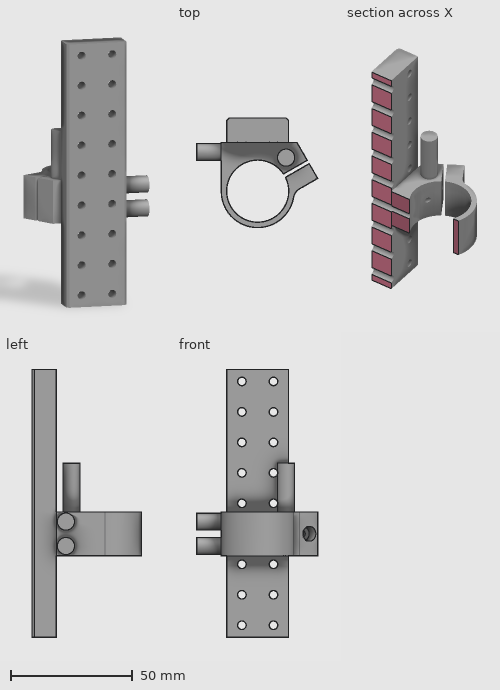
import cadquery as cq
import math

RAIL_LENGTH = 110.0
RAIL_WIDTH = 25.4
RAIL_THICKNESS = 10.0
RAIL_CHAMFER = 1.0
RAIL_HOLE_DIAMETER = 3.4
HOLE_ROWS = 9
HOLE_COLUMN_SPACING = 13.0
HOLE_END_MARGIN = 5.0
HOLE_PITCH = (RAIL_LENGTH - 2 * HOLE_END_MARGIN) / (HOLE_ROWS - 1)

BORE_DIAMETER = RAIL_WIDTH
RING_WALL = 2.3
RING_RADIUS = BORE_DIAMETER / 2 + RING_WALL
CLAMP_HEIGHT = 18.0
CLAMP_ROW = 3
CLAMP_MIDDLE_Z = HOLE_END_MARGIN + CLAMP_ROW * HOLE_PITCH
CLAMP_BOTTOM_Z = CLAMP_MIDDLE_Z - CLAMP_HEIGHT / 2
CLAMP_TOP_Z = CLAMP_BOTTOM_Z + CLAMP_HEIGHT
MOUNTING_FACE_Y = 20.0
MOUNTING_HOLE_DIAMETER = 2.4

SLIT_ANGLE = 30.0
SLIT_WIDTH = 1.5
JAW_REACH = 24.0
JAW_THICKNESS = 7.0
JAW_FILLET = 5.0
JAW_OUTER_OFFSET = SLIT_WIDTH / 2 + JAW_THICKNESS

SCREW_REACH = 20.0
SCREW_HOLE_DIAMETER = 2.4
SCREW_HEAD_DIAMETER = 6.0
SCREW_HEAD_DEPTH = 5.5
SCREW_END_OFFSET = 10.0

PIN_DIAMETER = 7.0
SIDE_PIN_LENGTH = 10.0
SIDE_PIN_Y = 16.1
SIDE_PIN_SPACING = 10.0
TOP_PIN_LENGTH = 20.0
TOP_PIN_X = 11.7
TOP_PIN_Y = 13.8


def slit_point(along, across):
    """Turn a place along and across the slit into X and Y."""
    angle = math.radians(SLIT_ANGLE)
    return (
        along * math.cos(angle) - across * math.sin(angle),
        along * math.sin(angle) + across * math.cos(angle),
    )


def slit_cylinder(diameter, start, length):
    """Cylinder on the screw axis, from start across the slit, towards the rail."""
    x, y = slit_point(SCREW_REACH, start)
    direction = slit_point(0, 1)
    return cq.Solid.makeCylinder(
        diameter / 2, length, cq.Vector(x, y, CLAMP_MIDDLE_Z), cq.Vector(*direction, 0)
    )


def rail_hole_cutters(diameter, z, y_start, length):
    """Two cylinders along +Y, one for each column of rail holes."""
    return [
        cq.Solid.makeCylinder(
            diameter / 2, length, cq.Vector(x, y_start, z), cq.Vector(0, 1, 0)
        )
        for x in (-HOLE_COLUMN_SPACING / 2, HOLE_COLUMN_SPACING / 2)
    ]


def make_rail():
    rail = (
        cq.Workplane("XY")
        .center(0, MOUNTING_FACE_Y + RAIL_THICKNESS / 2)
        .rect(RAIL_WIDTH, RAIL_THICKNESS)
        .extrude(RAIL_LENGTH)
        .edges("|Z and >Y")
        .chamfer(RAIL_CHAMFER)
    )
    for row in range(HOLE_ROWS):
        z = HOLE_END_MARGIN + row * HOLE_PITCH
        for cutter in rail_hole_cutters(RAIL_HOLE_DIAMETER, z, MOUNTING_FACE_Y, RAIL_THICKNESS):
            rail = rail.cut(cutter)
    return rail


def make_clamp_block():
    """Ring, mounting block and jaws in one outline, then the bore and slit."""
    angle = math.radians(SLIT_ANGLE)
    root_reach = math.sqrt(RING_RADIUS**2 - JAW_OUTER_OFFSET**2)
    jaw_root = slit_point(root_reach, -JAW_OUTER_OFFSET)
    jaw_tip = slit_point(JAW_REACH, -JAW_OUTER_OFFSET)
    end_face_top_x = (JAW_REACH - MOUNTING_FACE_Y * math.sin(angle)) / math.cos(angle)
    block = (
        cq.Workplane("XY", origin=(0, 0, CLAMP_BOTTOM_Z))
        .moveTo(-RING_RADIUS, 0)
        .threePointArc((0, -RING_RADIUS), jaw_root)
        .lineTo(*jaw_tip)
        .lineTo(end_face_top_x, MOUNTING_FACE_Y)
        .lineTo(-RING_RADIUS, MOUNTING_FACE_Y)
        .close()
        .extrude(CLAMP_HEIGHT)
    )
    root_edge = cq.selectors.NearestToPointSelector((*jaw_root, CLAMP_MIDDLE_Z))
    block = block.edges("|Z").edges(root_edge).fillet(JAW_FILLET)
    bore = (
        cq.Workplane("XY", origin=(0, 0, CLAMP_BOTTOM_Z))
        .circle(BORE_DIAMETER / 2)
        .extrude(CLAMP_HEIGHT)
    )
    slit = (
        cq.Workplane("XY", origin=(0, 0, CLAMP_BOTTOM_Z))
        .center(JAW_REACH / 2, 0)
        .rect(JAW_REACH, SLIT_WIDTH)
        .extrude(CLAMP_HEIGHT)
        .rotate((0, 0, 0), (0, 0, 1), SLIT_ANGLE)
    )
    return block.cut(bore).cut(slit)


def cut_screw_hole(clamp):
    """Counterbored hole through the outer jaw, ending blind in the inner one."""
    head_recess = slit_cylinder(SCREW_HEAD_DIAMETER, -JAW_OUTER_OFFSET, SCREW_HEAD_DEPTH)
    screw_hole_length = JAW_OUTER_OFFSET + SCREW_END_OFFSET
    screw_hole = slit_cylinder(SCREW_HOLE_DIAMETER, -JAW_OUTER_OFFSET, screw_hole_length)
    return clamp.cut(head_recess).cut(screw_hole)


def cut_mounting_holes(clamp):
    """Holes from the bore to the mounting face, in line with a row of rail holes."""
    for cutter in rail_hole_cutters(MOUNTING_HOLE_DIAMETER, CLAMP_MIDDLE_Z, 0, MOUNTING_FACE_Y):
        clamp = clamp.cut(cutter)
    return clamp


def add_pins(clamp):
    for z_offset in (-SIDE_PIN_SPACING / 2, SIDE_PIN_SPACING / 2):
        foot = cq.Vector(-RING_RADIUS, SIDE_PIN_Y, CLAMP_MIDDLE_Z + z_offset)
        side_pin = cq.Solid.makeCylinder(PIN_DIAMETER / 2, SIDE_PIN_LENGTH, foot, cq.Vector(-1, 0, 0))
        clamp = clamp.union(cq.Workplane(side_pin))
    foot = cq.Vector(TOP_PIN_X, TOP_PIN_Y, CLAMP_TOP_Z)
    top_pin = cq.Solid.makeCylinder(PIN_DIAMETER / 2, TOP_PIN_LENGTH, foot)
    return clamp.union(cq.Workplane(top_pin))


rail = make_rail()
clamp = make_clamp_block()
clamp = cut_screw_hole(clamp)
clamp = cut_mounting_holes(clamp)
clamp = add_pins(clamp)
result = cq.Compound.makeCompound([rail.val(), *clamp.vals()])